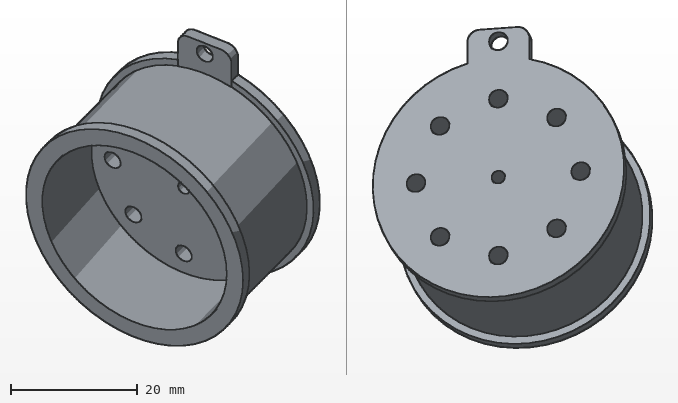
import cadquery as cq

flange_diameter = 40.4
barrel_diameter = 37.95
bore_diameter = 34.35
spool_length = 22.8
flange_thickness = 1.9
floor_thickness = 8.2

overall_height = 45.35
tab_width = 9.98
tab_thickness = 2.0
tab_corner_radius = 2.0
tab_hole_drop = 2.18

hole_diameter = 3.0
center_hole_diameter = 2.15
hole_count = 8
hole_circle_diameter = 26.5

tab_top = overall_height - flange_diameter / 2


def cylinder(diameter, start_y, length):
    """Solid cylinder along Y, from start_y toward +Y."""
    plane = cq.Workplane("XZ", origin=(0, start_y, 0))
    return plane.circle(diameter / 2).extrude(-length)


def make_spool():
    """Barrel with a flange at each end and a blind bore from the front."""
    barrel = cylinder(barrel_diameter, 0, spool_length)
    front_flange = cylinder(flange_diameter, 0, flange_thickness)
    back_flange = cylinder(flange_diameter, spool_length - flange_thickness, flange_thickness)
    bore = cylinder(bore_diameter, 0, spool_length - floor_thickness)
    return barrel.union(front_flange).union(back_flange).cut(bore)


def make_tab():
    """Upright tab with rounded top corners, rooted inside the floor wall."""
    tab_root = barrel_diameter / 2 - flange_thickness
    tab_height = tab_top - tab_root
    tab = cq.Workplane("XY").box(tab_width, tab_thickness, tab_height)
    tab = tab.edges("|Y and >Z").fillet(tab_corner_radius)
    return tab.translate((0, spool_length - tab_thickness / 2, tab_root + tab_height / 2))


def make_holes():
    """Cutters for the tab hole, the centre hole and the ring of holes."""
    tab_hole = cylinder(hole_diameter, 0, spool_length).translate((0, 0, tab_top - tab_hole_drop))
    center_hole = cylinder(center_hole_diameter, 0, spool_length)
    ring = (
        cq.Workplane("XZ")
        .polarArray(hole_circle_diameter / 2, 0, 360, hole_count)
        .circle(hole_diameter / 2)
        .extrude(-spool_length)
    )
    return tab_hole, center_hole, ring


result = make_spool().union(make_tab())
for hole in make_holes():
    result = result.cut(hole)